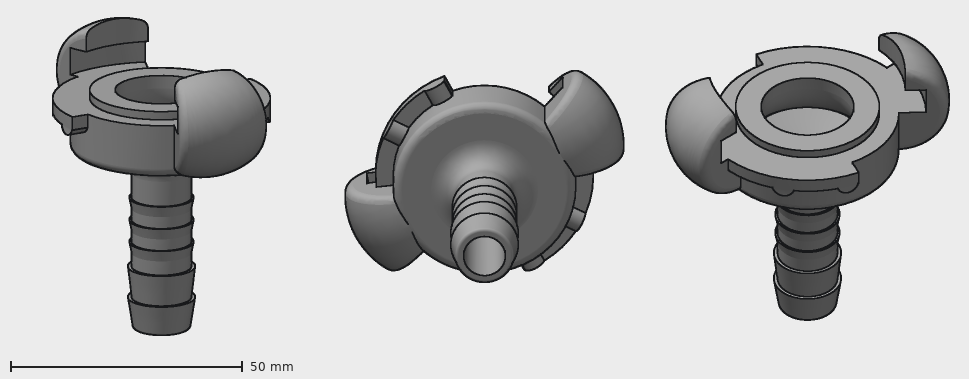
import cadquery as cq
import math

body_bottom = 40.1
flange_top = 51.95
face_top = 53.8

body_radius = 19.7
body_edge_radius = 2.0
face_radius = 31.0 / 2

lip_radius = 47.0 / 2
lip_bottom = 48.95
lip_end_offset = 2.5
bump_radius = 2.5
bump_level = 49.8
bump_inner_radius = 17.9
bump_angles = (0, 35)

claw_reach = 62.95 / 2
claw_radius = 11.95
claw_axis_distance = claw_reach - claw_radius
claw_axis_level = body_bottom + claw_radius
claw_crown_radius = 19.2
claw_half_angle = 21.2
claw_half_width = 14.05
claw_inner_radius = 16.6
claw_edge_radius = 1.9
claw_tip_radius = 21.1
claw_slot_radius = 25.55
claw_slot_top = 58.0

stem_radius = 13.0 / 2
flare_radius = 5.05
small_barb_radius = 6.95
small_barb_tops = (29.45, 24.4, 19.4)
small_barb_height = 2.4
large_barb_radius = 7.3
large_barb_tops = (13.9, 6.9)
stem_end_radius = 6.2
stem_end_rounding = 0.7

bore_radius = 9.0 / 2
mouth_radius = 20.0 / 2
mouth_depth = 2.95
chamber_radius = 28.5 / 2
cone_top = 42.5
cone_bottom = 39.6

above_part = 70.3


def cylinder(radius, bottom, top):
    return cq.Workplane("XY").workplane(offset=bottom).circle(radius).extrude(top - bottom)


def cone(bottom_radius, top_radius, bottom, top):
    profile = cq.Workplane("XZ").polyline(
        [(0, bottom), (bottom_radius, bottom), (top_radius, top), (0, top)]
    )
    return profile.close().revolve(360, (0, 0), (0, 1))


def opposite(shape):
    return shape.rotate((0, 0, 0), (0, 0, 1), 180)


def make_body():
    body = cylinder(body_radius, body_bottom, flange_top)
    body = body.faces("<Z").edges().fillet(body_edge_radius)
    return body.union(cylinder(face_radius, flange_top, face_top))


def make_stem():
    flare_bottom = body_bottom - flare_radius
    flare_edge = stem_radius + flare_radius
    diagonal = flare_radius * math.sqrt(0.5)
    last_barb_top = large_barb_tops[-1]
    stem = (
        cq.Workplane("XZ")
        .moveTo(0, last_barb_top)
        .lineTo(stem_radius, last_barb_top)
        .lineTo(stem_radius, flare_bottom)
        .threePointArc((flare_edge - diagonal, flare_bottom + diagonal), (flare_edge, body_bottom))
        .lineTo(flare_edge, body_bottom + body_edge_radius)
        .lineTo(0, body_bottom + body_edge_radius)
        .close()
        .revolve(360, (0, 0), (0, 1))
    )
    for top in small_barb_tops:
        stem = stem.union(cone(stem_radius, small_barb_radius, top - small_barb_height, top))
    upper_top, lower_top = large_barb_tops
    stem = stem.union(cone(stem_radius, large_barb_radius, lower_top, upper_top))
    end = cone(stem_end_radius, large_barb_radius, 0, lower_top)
    return stem.union(end.faces("<Z").edges().fillet(stem_end_rounding))


def make_lip():
    blank_reach = lip_radius + 1.3
    lip = (
        cq.Workplane("XY")
        .workplane(offset=lip_bottom)
        .moveTo(lip_end_offset, 0)
        .lineTo(lip_end_offset, -blank_reach)
        .lineTo(-blank_reach, -blank_reach)
        .lineTo(-blank_reach, 0)
        .close()
        .extrude(flange_top - lip_bottom)
    )
    chord_half = math.sqrt(bump_radius**2 - (bump_level - lip_bottom) ** 2)
    for angle in bump_angles:
        bump = (
            cq.Workplane("XZ")
            .workplane(offset=bump_inner_radius)
            .moveTo(-chord_half, lip_bottom)
            .threePointArc((0, bump_level - bump_radius), (chord_half, lip_bottom))
            .close()
            .extrude(blank_reach - bump_inner_radius)
        )
        bump = bump.rotate((0, 0, 0), (0, 0, 1), -angle)
        lip = lip.union(bump)
    return lip.intersect(cylinder(lip_radius, body_bottom, flange_top))


def make_claw():
    crown_drop = claw_crown_radius - math.sqrt(claw_crown_radius**2 - claw_half_width**2)
    barrel_end_radius = claw_radius - crown_drop
    barrel = (
        cq.Workplane("XY")
        .workplane(offset=claw_axis_level)
        .moveTo(claw_axis_distance, -claw_half_width)
        .lineTo(claw_axis_distance + barrel_end_radius, -claw_half_width)
        .threePointArc(
            (claw_reach, 0), (claw_axis_distance + barrel_end_radius, claw_half_width)
        )
        .lineTo(claw_axis_distance, claw_half_width)
        .close()
        .revolve(360, (claw_axis_distance, 0), (claw_axis_distance, 1))
    )
    wedge_length = claw_reach + 3.2
    wedge_half_width = wedge_length * math.tan(math.radians(claw_half_angle))
    wedge = (
        cq.Workplane("XY")
        .polyline([(0, 0), (wedge_length, -wedge_half_width), (wedge_length, wedge_half_width)])
        .close()
        .extrude(above_part)
    )
    wedge = wedge.cut(cylinder(claw_inner_radius, 0, above_part))
    claw = barrel.intersect(wedge)
    rim = cq.selectors.BoxSelector(
        (claw_axis_distance, -wedge_half_width, 0),
        (wedge_length, wedge_half_width, above_part),
    )
    claw = claw.edges(rim).fillet(claw_edge_radius)
    claw = claw.cut(cylinder(claw_tip_radius, flange_top, above_part))
    return claw.cut(cylinder(claw_slot_radius, flange_top, claw_slot_top))


def make_passage():
    passage = cylinder(bore_radius, 0, face_top)
    mouth_bottom = face_top - mouth_depth
    chamber = (
        cq.Workplane("XZ")
        .moveTo(0, face_top)
        .lineTo(mouth_radius, face_top)
        .lineTo(mouth_radius, mouth_bottom)
        .tangentArcPoint((chamber_radius, cone_top), relative=False)
        .lineTo(bore_radius, cone_bottom)
        .lineTo(0, cone_bottom)
        .close()
        .revolve(360, (0, 0), (0, 1))
    )
    return passage.union(chamber)


lip = make_lip()
claw = make_claw()
result = make_body().union(make_stem())
for feature in (lip, claw):
    result = result.union(feature).union(opposite(feature))
result = result.cut(make_passage())